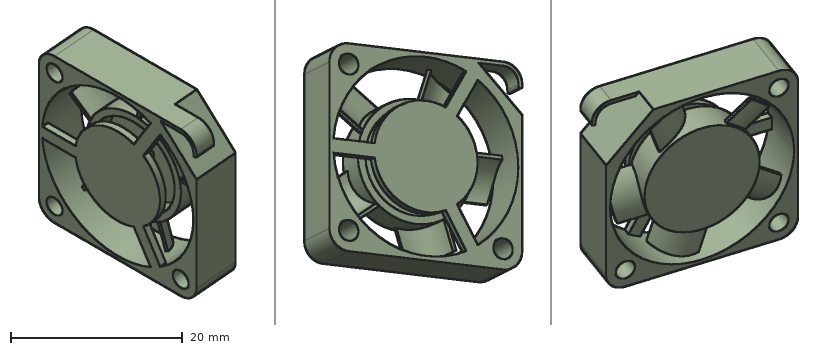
import cadquery as cq
import math

SIDE = 25.0
DEPTH = 6.75
CORNER_RADIUS = 2.5
HOLE_OFFSET = SIDE / 2 - CORNER_RADIUS
HOLE_DIAMETER = 2.5
BORE_RADIUS = 11.98
PLATE_RADIUS = 6.7
PLATE_THICKNESS = 1.0
SPOKE_WIDTH = 1.75
SPOKE_ANGLES = (60, 180, 300)
SPOKE_OVERLAP = 0.25
CORNER_CUT = 6.15
HOOK_THICKNESS = 0.5
HOOK_DEPTH = 3.0
HOOK_TIP_LENGTH = 0.45
HOOK_TIP_FILLET = 0.22

HUB_RADIUS = 7.5
HUB_FRONT = 2.75
HUB_BORE_RADIUS = 6.5
HUB_FLOOR = 5.75
SHAFT_RADIUS = 0.48
BLADE_COUNT = 5
BLADE_FRONT = HUB_FRONT + 0.12
BLADE_BACK = 6.15
BLADE_TOP = 1.98
BLADE_BOTTOM = -3.32
BLADE_THICKNESS = 0.48
BLADE_BEND_Y = 5.0
BLADE_BEND_Z = 0.0
BLADE_TIP_X = 11.42
BLADE_TIP_TOP_X = 11.22
BLADE_TIP_BOTTOM_X = 10.7


def front_plane(y):
    """XZ sketch plane at the given Y; its normal is -Y, so negative extrusion runs toward +Y."""
    return cq.Plane(origin=(0, y, 0), xDir=(1, 0, 0), normal=(0, -1, 0))


def disc(radius, y_start, y_end):
    return cq.Workplane(front_plane(y_start)).circle(radius).extrude(y_start - y_end)


def square_block(side, radius, depth):
    return (
        cq.Workplane(front_plane(0))
        .rect(side, side)
        .extrude(-depth)
        .edges("|Y")
        .fillet(radius)
    )


def corner_prism():
    """Triangular prism that covers the cut-off upper +X corner."""
    half = SIDE / 2
    return (
        cq.Workplane(front_plane(0))
        .moveTo(half - CORNER_CUT, half)
        .lineTo(half, half)
        .lineTo(half, half - CORNER_CUT)
        .close()
        .extrude(-DEPTH)
    )


def make_hook():
    """Thin lip that continues the top wall and bends around the cut-off corner."""
    half = SIDE / 2
    bend_center = half - CORNER_RADIUS
    inner_radius = CORNER_RADIUS - HOOK_THICKNESS
    tip_z = bend_center - HOOK_TIP_LENGTH
    diagonal = math.sqrt(0.5)
    return (
        cq.Workplane(front_plane(0))
        .moveTo(half - CORNER_CUT, half)
        .lineTo(bend_center, half)
        .threePointArc(
            (bend_center + CORNER_RADIUS * diagonal, bend_center + CORNER_RADIUS * diagonal),
            (half, bend_center),
        )
        .lineTo(half, tip_z)
        .lineTo(half - HOOK_THICKNESS, tip_z)
        .lineTo(half - HOOK_THICKNESS, bend_center)
        .threePointArc(
            (bend_center + inner_radius * diagonal, bend_center + inner_radius * diagonal),
            (bend_center, half - HOOK_THICKNESS),
        )
        .lineTo(half - CORNER_CUT + HOOK_THICKNESS, half - HOOK_THICKNESS)
        .close()
        .extrude(-HOOK_DEPTH)
        .edges("|Y and <Z")
        .fillet(HOOK_TIP_FILLET)
    )


def make_spokes():
    """Round centre plate carried by three radial spokes that merge into the bore wall."""
    bracket = disc(PLATE_RADIUS, 0, PLATE_THICKNESS)
    reach = BORE_RADIUS + SPOKE_OVERLAP
    for angle in SPOKE_ANGLES:
        spoke = (
            cq.Workplane("XY")
            .box(reach, PLATE_THICKNESS, SPOKE_WIDTH, centered=(False, False, True))
            .rotate((0, 0, 0), (0, -1, 0), angle)
        )
        bracket = bracket.union(spoke)
    return bracket


def make_housing():
    mounting_holes = (
        cq.Workplane(front_plane(0))
        .pushPoints([
            (-HOLE_OFFSET, HOLE_OFFSET),
            (-HOLE_OFFSET, -HOLE_OFFSET),
            (HOLE_OFFSET, -HOLE_OFFSET),
        ])
        .circle(HOLE_DIAMETER / 2)
        .extrude(-DEPTH)
    )
    return (
        square_block(SIDE, CORNER_RADIUS, DEPTH)
        .cut(corner_prism())
        .cut(disc(BORE_RADIUS, 0, DEPTH))
        .cut(mounting_holes)
        .union(make_spokes())
        .union(make_hook())
    )


def make_blade():
    """Curved blade reaching along +X, trimmed to its arched tip and to the hub wall."""
    offset = BLADE_THICKNESS * math.sqrt(0.5)
    section = (
        cq.Workplane("YZ")
        .moveTo(BLADE_FRONT, BLADE_TOP)
        .lineTo(BLADE_FRONT, BLADE_TOP - BLADE_THICKNESS)
        .threePointArc((BLADE_BEND_Y, BLADE_BEND_Z), (BLADE_BACK - BLADE_THICKNESS, BLADE_BOTTOM))
        .lineTo(BLADE_BACK, BLADE_BOTTOM)
        .threePointArc(
            (BLADE_BEND_Y + offset, BLADE_BEND_Z + offset),
            (BLADE_FRONT, BLADE_TOP),
        )
        .close()
        .extrude(SIDE / 2)
    )
    tip_outline = (
        cq.Workplane(front_plane(0))
        .moveTo(0, BLADE_TOP)
        .lineTo(BLADE_TIP_TOP_X, BLADE_TOP)
        .threePointArc((BLADE_TIP_X, 0), (BLADE_TIP_BOTTOM_X, BLADE_BOTTOM))
        .lineTo(0, BLADE_BOTTOM)
        .close()
        .extrude(-DEPTH)
    )
    hub_core = disc((HUB_RADIUS + HUB_BORE_RADIUS) / 2, 0, DEPTH)
    return section.intersect(tip_outline).cut(hub_core)


def make_rotor():
    """Cup-shaped hub open toward -Y, with its shaft and a ring of blades."""
    rotor = (
        disc(HUB_RADIUS, HUB_FRONT, DEPTH)
        .cut(disc(HUB_BORE_RADIUS, HUB_FRONT, HUB_FLOOR))
        .union(disc(SHAFT_RADIUS, PLATE_THICKNESS, HUB_FLOOR))
    )
    blade = make_blade()
    for index in range(BLADE_COUNT):
        rotor = rotor.union(blade.rotate((0, 0, 0), (0, -1, 0), index * 360 / BLADE_COUNT))
    return rotor


housing = make_housing()
rotor = make_rotor()
result = cq.Compound.makeCompound([housing.val(), rotor.val()])